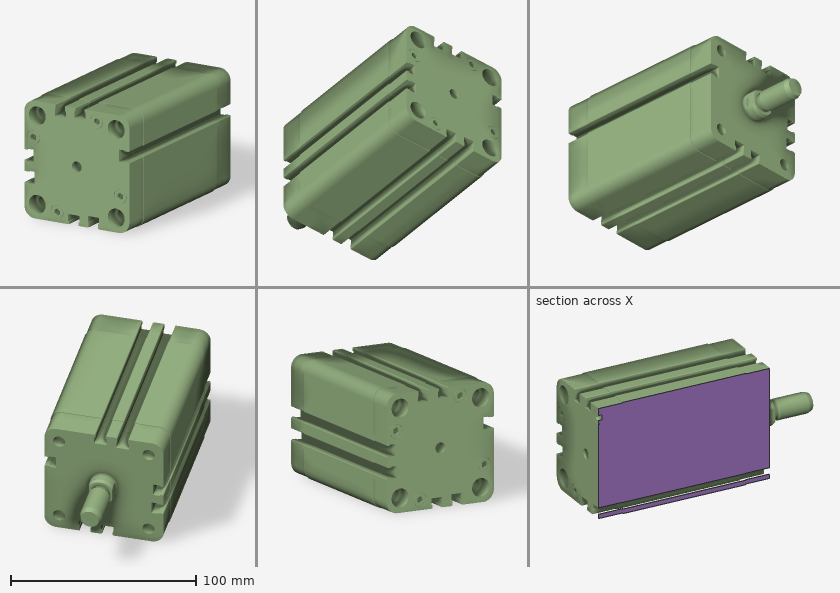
import cadquery as cq
import math


barrel_width = 67.0
barrel_corner_radius = 6.7
cap_width = 66.3
cap_corner_radius = 6.6
cap_length = 15.0
body_length = 105.5

deep_slot_offset = -10.4
deep_slot_floor = 26.7
deep_slot_lip = 3.0
deep_slot_mouth = 5.8
shallow_slot_offset = 1.9
shallow_slot_floor = 27.5
shallow_slot_lip = 1.8
shallow_slot_mouth = 5.5
slot_inner_width = 6.7
slot_edge_radius = 0.5
cap_slot_clearance = 0.1

mounting_hole_offset = 25.0
mounting_hole_diameter = 6.7
counterbore_diameter = 10.5
counterbore_depth = 7.0

screw_side_offset = 12.5
screw_axis_distance = 27.4
screw_recess_diameter = 8.0
screw_head_diameter = 7.5
screw_recess_depth = 0.5
screw_socket_corner_diameter = 4.0
screw_socket_depth = 2.0

centre_bore_diameter = 6.0
centre_bore_depth = 5.5

rod_tip = 137.0
rod_diameter = 16.0
rod_shoulder = 113.0
rod_chamfer_length = 1.6
rod_chamfer_height = 0.8
flat_width = 13.0
flat_length = 5.6
thread_diameter = 12.0
thread_root_diameter = 10.0
thread_start = 116.2
thread_run_out = 0.7
thread_tip_diameter = 10.0
thread_tip_chamfer_length = 2.7

overlap = 1.4
quarter_turns = [0, 90, 180, 270]
side_without_shallow_slot = 270


def turned(shape, angle):
    """Turn a shape about the cylinder axis, carrying top to left for 90 degrees."""
    return shape.rotate((0, 0, 0), (0, 1, 0), -angle)


def square_block(width, corner_radius, start, length):
    block = cq.Workplane("XY").box(width, length, width).edges("|Y").fillet(corner_radius)
    return block.translate((0, start + length / 2, 0))


def slot_cutter(offset, floor, lip, mouth, block_width, clearance, start, length):
    """T-slot cutter with rounded mouth edges, open through the top side of a square block."""
    top = block_width / 2
    bottom = floor - clearance
    shoulder = top - lip
    half_inner = slot_inner_width / 2 + clearance
    half_mouth = mouth / 2 + clearance
    half_flare = half_mouth + slot_edge_radius
    round_start = top - slot_edge_radius
    arc_inset = slot_edge_radius * (1 - math.sqrt(0.5))
    profile = (
        cq.Workplane("XZ")
        .moveTo(-half_inner, bottom)
        .lineTo(half_inner, bottom)
        .lineTo(half_inner, shoulder)
        .lineTo(half_mouth, shoulder)
        .lineTo(half_mouth, round_start)
        .threePointArc((half_mouth + arc_inset, top - arc_inset), (half_flare, top))
        .lineTo(half_flare, top + overlap)
        .lineTo(-half_flare, top + overlap)
        .lineTo(-half_flare, top)
        .threePointArc((-half_mouth - arc_inset, top - arc_inset), (-half_mouth, round_start))
        .lineTo(-half_mouth, shoulder)
        .lineTo(-half_inner, shoulder)
        .close()
    )
    return profile.extrude(-length).translate((offset, start, 0))


def slotted_section(width, corner_radius, clearance, start, length):
    """Length of square housing with a deep slot in each side and a shallow one in three sides."""
    extent = (width, clearance, start, length)
    deep = slot_cutter(deep_slot_offset, deep_slot_floor, deep_slot_lip, deep_slot_mouth, *extent)
    shallow = slot_cutter(
        shallow_slot_offset, shallow_slot_floor, shallow_slot_lip, shallow_slot_mouth, *extent
    )
    section = square_block(width, corner_radius, start, length)
    for angle in quarter_turns:
        section = section.cut(turned(deep, angle))
        if angle != side_without_shallow_slot:
            section = section.cut(turned(shallow, angle))
    return section


def rod():
    """Turned rod with a threaded end and two wrench flats facing +X and -X."""
    rod_radius = rod_diameter / 2
    profile = [
        (0, body_length - overlap),
        (rod_radius, body_length - overlap),
        (rod_radius, rod_shoulder - rod_chamfer_length),
        (rod_radius - rod_chamfer_height, rod_shoulder),
        (thread_root_diameter / 2, rod_shoulder),
        (thread_root_diameter / 2, thread_start - thread_run_out),
        (thread_diameter / 2, thread_start),
        (thread_diameter / 2, rod_tip - thread_tip_chamfer_length),
        (thread_tip_diameter / 2, rod_tip),
        (0, rod_tip),
    ]
    turned_rod = cq.Workplane("XY").polyline(profile).close().revolve(360, (0, 0), (0, 1))

    flat_end = rod_shoulder - flat_length
    outer = rod_radius + overlap
    flat_profile = [
        (flat_width / 2, rod_shoulder),
        (flat_width / 2, flat_end),
        (outer, flat_end - (outer - flat_width / 2)),
        (outer, rod_shoulder),
    ]
    flat = cq.Workplane("XY").polyline(flat_profile).close().extrude(rod_radius, both=True)
    return turned_rod.cut(flat).cut(flat.mirror("YZ"))


def bore(diameter, depth):
    """Round cutter going from the rear face into the body."""
    return cq.Workplane("XZ").circle(diameter / 2).extrude(-depth)


def mounting_hole():
    counterbore = bore(counterbore_diameter, counterbore_depth)
    hole = bore(mounting_hole_diameter, body_length).union(counterbore)
    return hole.translate((mounting_hole_offset, 0, mounting_hole_offset))


def screw_cutter():
    """Ring-shaped gap around a flush screw head, with its hexagon socket."""
    screw_head = bore(screw_head_diameter, screw_recess_depth)
    gap = bore(screw_recess_diameter, screw_recess_depth).cut(screw_head)
    socket = cq.Workplane("XZ").polygon(6, screw_socket_corner_diameter).extrude(-screw_socket_depth)
    socket = turned(socket, 90)
    return gap.union(socket)


barrel_length = body_length - 2 * cap_length
result = slotted_section(barrel_width, barrel_corner_radius, 0, cap_length, barrel_length)
for cap_start in [0, body_length - cap_length]:
    cap = slotted_section(cap_width, cap_corner_radius, cap_slot_clearance, cap_start, cap_length)
    result = result.union(cap)
result = result.union(rod())
result = result.cut(bore(centre_bore_diameter, centre_bore_depth))

for angle in quarter_turns:
    result = result.cut(turned(mounting_hole(), angle))
    screw = turned(screw_cutter(), -angle).translate((screw_side_offset, 0, screw_axis_distance))
    result = result.cut(turned(screw, angle))